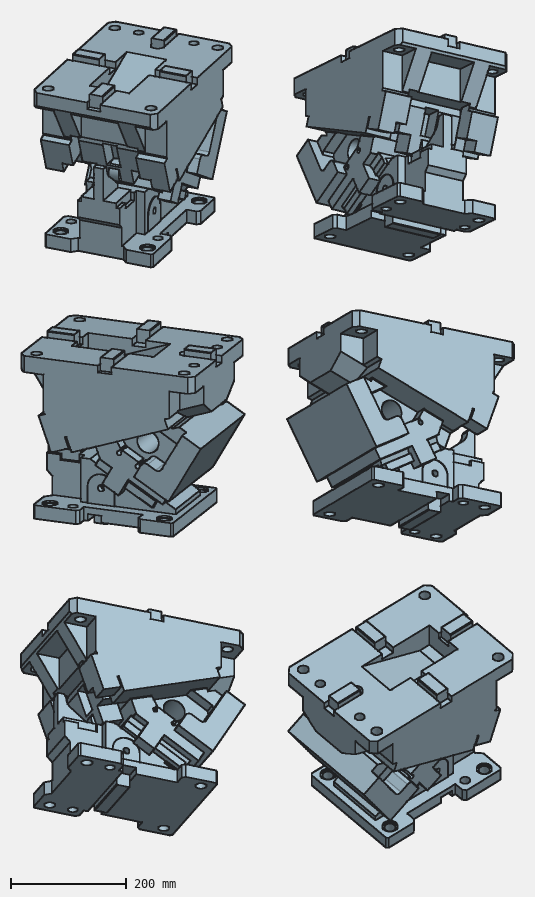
import cadquery as cq
import math


HEIGHT = 300.2
KEY_WIDTH = 25.0
KEY_LENGTH = 50.0
KEY_RISE = 12.0
KEY_SLOT_DEPTH = 12.5
KEY_CHAMFER = 1.3

RAMP_ANGLE = 30
RAMP_START = (107.5, 105.3)
GUIDE_ANGLE = 20
GUIDE_START = (98.3, 135.5)


def on_ramp(along, above):
    """(Y, Z) of a point given by its distance down the ramp and its height square to it."""
    cosine, sine = math.cos(math.radians(RAMP_ANGLE)), math.sin(math.radians(RAMP_ANGLE))
    return (RAMP_START[0] + along * cosine + above * sine, RAMP_START[1] - along * sine + above * cosine)


def on_guide(along, above):
    """(Y, Z) of a point given by its distance up the guide face and its height square to it."""
    cosine, sine = math.cos(math.radians(GUIDE_ANGLE)), math.sin(math.radians(GUIDE_ANGLE))
    return (GUIDE_START[0] + along * cosine - above * sine, GUIDE_START[1] + along * sine + above * cosine)


def rectangle(place, along, above):
    """Corners of a rectangle in the ramp or guide directions, given its (low, high) limits."""
    return [place(along[0], above[0]), place(along[1], above[0]),
            place(along[1], above[1]), place(along[0], above[1])]


def bar(points, half_width):
    """A (Y, Z) outline carried across the middle, from -half_width to +half_width."""
    return cq.Workplane("YZ").polyline(points).close().extrude(half_width, both=True)


def side_pair(points, inner, outer):
    """A (Y, Z) outline carried from inner to outer on both sides of the middle."""
    right = cq.Workplane("YZ", origin=(inner, 0, 0)).polyline(points).close().extrude(outer - inner)
    return right.union(right.mirror("YZ"))


def ramp_bar(section, start, end):
    """An (X, height) section carried along the ramp from start to end."""
    y, z = on_ramp(end, 0)
    angle = math.radians(RAMP_ANGLE)
    uphill = (0, -math.cos(angle), math.sin(angle))
    plane = cq.Plane(origin=(0, y, z), xDir=(1, 0, 0), normal=uphill)
    return cq.Workplane(plane).polyline(section).close().extrude(end - start)


def strip_section(half_width, top):
    """Section of a flat strip lying on the ramp."""
    return [(-half_width, 0), (-half_width, top), (half_width, top), (half_width, 0)]


def block(x, y, z):
    """A box given by its (low, high) limits on each axis."""
    box = cq.Workplane("XY").box(x[1] - x[0], y[1] - y[0], z[1] - z[0], centered=False)
    return box.translate((x[0], y[0], z[0]))


BASE_HALF = 102.3
BASE_FRONT = 20.3
BASE_BACK = 280.3
BASE_THICKNESS = 25.0
BASE_CORNER = 3.3
BASE_HOLE_INSET = 20.0
BASE_HOLE_FROM_END = 23.2
BASE_HOLE_DIAMETER = 19.3
BASE_BORE_DIAMETER = 26.5
BASE_BORE_DEPTH = 3.3
DOWEL_DIAMETER = 17.0
BASE_DOWEL_FROM_FRONT = 66.5

FRONT_NOTCH_DEPTH = 10.0
FRONT_NOTCH_HALF = 43.0
SIDE_NOTCH = (105.3, 214.5)
SIDE_NOTCH_HALF = 78.0
SIDE_NOTCH_CHAMFER = 5.5

BASE_KEY_Y = 125.2
BASE_KEY_HALF = 50.0

RIDGE_HALF = 55.5
RIDGE_TOP_HALF = 33.2
RIDGE_SHOULDER = 14.3
RIDGE_TOP = 21.5
RIDGE_START = 14.3
RIDGE_BACK = 267.0
END_BLOCK_START = 144.8
END_BLOCK_TOP = 18.0
RIDGE_SECTION = [
    (-RIDGE_HALF, 0),
    (-RIDGE_HALF, RIDGE_SHOULDER),
    (-RIDGE_TOP_HALF, RIDGE_TOP),
    (RIDGE_TOP_HALF, RIDGE_TOP),
    (RIDGE_HALF, RIDGE_SHOULDER),
    (RIDGE_HALF, 0),
]
RAMP_LENGTH = 199.3

BODY_ROOT = 22.5
BODY_FRONT = 90.3
COLUMN_HALF = 40.0
COLUMN_STEP = 10.0
COLUMN_STEP_TOP = 69.5
COLUMN_FRONT = BASE_FRONT + COLUMN_STEP
STOP_HALF = 33.2
STOP_TOP = 109.3
STOP_BACK = 81.0
STOP_STEP_Y = 45.5
STOP_SEAT = 90.3
STOP_LEDGE = 100.3
FIN_HALF = 9.0
FIN_TOP = 169.7
FIN_CREST = (31.5, FIN_TOP)
FIN_CREST_END = (35.2, 164.7)
FIN_HOLLOW = (38.0, 153.0)
FIN_HOLLOW_END = (47.0, 143.5)
FIN_SLOPE_END = (74.0, 123.0)
FIN_SHOULDER = (79.5, 117.0)

BOSS_Y = 128.2
BOSS_Z = 54.8
BOSS_RADIUS = 25.2
BOSS_HALF = 56.8
BOSS_HOLE_DIAMETER = 11.3
BOSS_HOLE_DEPTH = 13.3
PAD_ALONG = (109.3, 139.0)
PAD_DROP = 4.5


def base_plate():
    notch_outer = BASE_HALF - SIDE_NOTCH_CHAMFER
    right_edge = [
        (FRONT_NOTCH_HALF, BASE_FRONT + FRONT_NOTCH_DEPTH),
        (FRONT_NOTCH_HALF + FRONT_NOTCH_DEPTH, BASE_FRONT),
        (BASE_HALF - BASE_CORNER, BASE_FRONT),
        (BASE_HALF, BASE_FRONT + BASE_CORNER),
        (BASE_HALF, SIDE_NOTCH[0] - SIDE_NOTCH_CHAMFER),
        (notch_outer, SIDE_NOTCH[0]),
        (SIDE_NOTCH_HALF, SIDE_NOTCH[0]),
        (SIDE_NOTCH_HALF, SIDE_NOTCH[1]),
        (notch_outer, SIDE_NOTCH[1]),
        (BASE_HALF, SIDE_NOTCH[1] + SIDE_NOTCH_CHAMFER),
        (BASE_HALF, BASE_BACK - BASE_CORNER),
        (BASE_HALF - BASE_CORNER, BASE_BACK),
    ]
    left_edge = [(-x, y) for x, y in reversed(right_edge)]
    plate = cq.Workplane("XY").polyline(right_edge + left_edge).close().extrude(BASE_THICKNESS)
    hole_x = BASE_HALF - BASE_HOLE_INSET
    corners = [
        (x, y)
        for x in (-hole_x, hole_x)
        for y in (BASE_FRONT + BASE_HOLE_FROM_END, BASE_BACK - BASE_HOLE_FROM_END)
    ]
    dowels = [(x, BASE_FRONT + BASE_DOWEL_FROM_FRONT) for x in (-hole_x, hole_x)]
    top = plate.faces(">Z").workplane(origin=(0, 0, BASE_THICKNESS))
    plate = top.pushPoints(corners).cboreHole(BASE_HOLE_DIAMETER, BASE_BORE_DIAMETER, BASE_BORE_DEPTH)
    top = plate.faces(">Z").workplane(origin=(0, 0, BASE_THICKNESS))
    plate = top.pushPoints(dowels).hole(DOWEL_DIAMETER)
    key_y = (BASE_KEY_Y - KEY_WIDTH / 2, BASE_KEY_Y + KEY_WIDTH / 2)
    slot = block((-BASE_HALF, BASE_HALF), key_y, (0, KEY_SLOT_DEPTH))
    key = block((-BASE_KEY_HALF, BASE_KEY_HALF), key_y, (-KEY_RISE, KEY_SLOT_DEPTH))
    key = key.edges("|X and <Z").chamfer(KEY_CHAMFER)
    return plate.cut(slot).union(key)


def ramp_body():
    ramp_foot = RAMP_START[0] + (RAMP_START[1] - BASE_THICKNESS) / math.tan(math.radians(RAMP_ANGLE))
    body = bar(
        [(BODY_FRONT, BODY_ROOT), (BODY_FRONT, RAMP_START[1]), RAMP_START,
         (ramp_foot, BASE_THICKNESS), (ramp_foot, BODY_ROOT)],
        RIDGE_HALF,
    )
    ridge = ramp_bar(RIDGE_SECTION, RIDGE_START, END_BLOCK_START)
    end_block = ramp_bar(strip_section(RIDGE_HALF, END_BLOCK_TOP), END_BLOCK_START, RAMP_LENGTH)
    room = block((-RIDGE_HALF, RIDGE_HALF), (BODY_FRONT, RIDGE_BACK), (BASE_THICKNESS, HEIGHT))
    return body.union(ridge.union(end_block).intersect(room))


def front_stop():
    column = bar(
        [(BODY_FRONT, BODY_ROOT), (BODY_FRONT, RAMP_START[1]), (STOP_BACK, RAMP_START[1]),
         (STOP_BACK, STOP_SEAT), (STOP_STEP_Y, STOP_SEAT), (STOP_STEP_Y, STOP_LEDGE),
         (BASE_FRONT, STOP_LEDGE), (BASE_FRONT, COLUMN_STEP_TOP),
         (COLUMN_FRONT, COLUMN_STEP_TOP - COLUMN_STEP), (COLUMN_FRONT, BODY_ROOT)],
        COLUMN_HALF,
    )
    stop = block((-STOP_HALF, STOP_HALF), (BASE_FRONT, STOP_BACK), (STOP_SEAT, STOP_TOP))
    fin = (
        cq.Workplane("YZ")
        .moveTo(BASE_FRONT, STOP_TOP)
        .lineTo(BASE_FRONT, FIN_TOP)
        .lineTo(*FIN_CREST)
        .lineTo(*FIN_CREST_END)
        .threePointArc(FIN_HOLLOW, FIN_HOLLOW_END)
        .lineTo(*FIN_SLOPE_END)
        .threePointArc(FIN_SHOULDER, (STOP_BACK, STOP_TOP))
        .close()
        .extrude(FIN_HALF, both=True)
    )
    stop = stop.cut(block((-STOP_HALF, STOP_HALF), (BASE_FRONT, STOP_STEP_Y), (STOP_SEAT, STOP_LEDGE)))
    return column.union(stop).union(fin)


def side_bosses():
    boss = block(
        (-BOSS_HALF, BOSS_HALF),
        (BOSS_Y - BOSS_RADIUS, BOSS_Y + BOSS_RADIUS),
        (BODY_ROOT, BOSS_Z),
    )
    round_top = cq.Workplane("YZ").center(BOSS_Y, BOSS_Z).circle(BOSS_RADIUS).extrude(BOSS_HALF, both=True)
    pad = bar(rectangle(on_ramp, PAD_ALONG, (-PAD_DROP, 0)), BOSS_HALF)
    return boss.union(round_top).union(pad)


def boss_holes():
    holes = cq.Workplane("YZ").center(BOSS_Y, BOSS_Z).circle(BOSS_HOLE_DIAMETER / 2)
    full = holes.extrude(BOSS_HALF, both=True)
    core_half = BOSS_HALF - BOSS_HOLE_DEPTH
    return full.cut(block((-core_half, core_half), (0, BASE_BACK), (0, HEIGHT)))


def make_base():
    base = base_plate().union(ramp_body()).union(front_stop()).union(side_bosses())
    return base.cut(boss_holes())


SLIDE_HALF = 81.5
PLATE_HALF = 100.5
PLATE_INNER = 124.0
PLATE_OUTER = 163.7
PLATE_TOP = 165.5
FOOT_INNER = 89.5
FOOT_TOP = 80.5
FOOT_BOTTOM = 45.2
FOOT_FILLET = 8.5
SHOE_HALF = 67.8
SHOE_SIDE = 14.5
SHOE_END = 138.8
SHOE_NOSE_HALF = 63.0
SHOE_NECK_TOP = 67.0
SHOE_NECK_BOTTOM = 62.8
SHOE_NECK_END = 143.5
SLIDE_BOTTOM = 24.2
ROOT_DEPTH = 1.5
SLIDE_END = 154.0
KEEPER = (45.0, 80.0)
KEEPER_DROP = 12.0
KEEPER_INNER = 57.5
NOSE = 29.5
NOSE_BOTTOM = -30.0
NOSE_SETBACK = 3.3
GUIDE_BACK = 180.7
REAR_DROP = 8.3
REAR_SHELF = 108.5
HOOK_BOTTOM = 8.3
BAR_HOLE_Y = 217.0
BAR_HOLE_Z = 151.5
BAR_HOLE_DIAMETER = 40.0
POCKET_HALF = 59.0
POCKET_FRONT = 70.5
POCKET_REAR = 150.0
POCKET_BOTTOM = 63.8
POCKET_TOP = 136.0
POCKET_CORNER = 4.5
RELIEF_RADIUS = 4.0
RELIEF_ALONG = (42.2, 82.0)
RELIEF_DROP = 8.0
GUIDE_STEPS = ((NOSE, POCKET_FRONT), (POCKET_REAR, GUIDE_BACK))
STEP_SIZE = 1.5

RETURN_FRONT = -10.5
RETURN_HALF = 59.0
RETURN_TOP = 204.2
RETURN_FACE_BOTTOM = 191.3
RETURN_SHOULDER = 14.0
TONGUE_HALF = 33.2
TONGUE_BOTTOM = -18.0
RETURN_SLOT_HALF = 13.3
RETURN_SLOT = (147.5, 194.5)
RETURN_SLOT_BACK = 16.5
ROLLER = (2.0, -4.3)
ROLLER_RADIUS = 19.3
ROLLER_HALF = 9.5


def guide_y(along, z):
    """Y at height z on the plane square to the guide at the given distance up it."""
    y_0, z_0 = on_guide(along, 0)
    return y_0 - (z - z_0) * math.tan(math.radians(GUIDE_ANGLE))


def back_plate():
    outline = [
        on_ramp(PLATE_OUTER, PLATE_TOP), on_ramp(PLATE_INNER, PLATE_TOP), on_ramp(PLATE_INNER, FOOT_TOP),
        on_ramp(FOOT_INNER, FOOT_TOP), on_ramp(FOOT_INNER, FOOT_BOTTOM), on_ramp(PLATE_OUTER, FOOT_BOTTOM),
    ]
    plate = bar(outline, PLATE_HALF)
    for y, z in (outline[2], outline[3]):
        plate = plate.edges(cq.selectors.NearestToPointSelector((0, y, z))).fillet(FOOT_FILLET)
    return plate


def slide_body():
    return bar(
        [on_ramp(PLATE_INNER, PLATE_TOP), on_ramp(REAR_SHELF, PLATE_TOP),
         on_guide(GUIDE_BACK, -REAR_DROP), on_guide(GUIDE_BACK, 0),
         on_guide(NOSE, 0), on_guide(NOSE, NOSE_BOTTOM), on_ramp(RIDGE_START + NOSE_SETBACK, SLIDE_BOTTOM),
         on_ramp(SLIDE_END, SLIDE_BOTTOM), on_ramp(SLIDE_END, FOOT_BOTTOM),
         on_ramp(PLATE_INNER, FOOT_BOTTOM)],
        SLIDE_HALF,
    )


def shoe():
    root = SLIDE_BOTTOM + ROOT_DEPTH
    strip = ramp_bar(strip_section(SHOE_HALF, SHOE_SIDE), KEEPER[0], SHOE_END)
    nose = ramp_bar(strip_section(SHOE_NOSE_HALF, SHOE_SIDE), RIDGE_START, KEEPER[0])
    neck = ramp_bar(
        [(-SHOE_NECK_BOTTOM, SHOE_SIDE), (-SHOE_NECK_TOP, SLIDE_BOTTOM), (-SHOE_NECK_TOP, root),
         (SHOE_NECK_TOP, root), (SHOE_NECK_TOP, SLIDE_BOTTOM), (SHOE_NECK_BOTTOM, SHOE_SIDE)],
        RIDGE_START, SHOE_NECK_END,
    )
    return strip.union(nose).union(neck).cut(ramp_bar(RIDGE_SECTION, 0, RAMP_LENGTH))


def keepers():
    outline = rectangle(on_ramp, KEEPER, (-KEEPER_DROP, SLIDE_BOTTOM + ROOT_DEPTH))
    return side_pair(outline, KEEPER_INNER, SLIDE_HALF)


def side_pockets():
    outline = [on_guide(POCKET_REAR, 0), on_ramp(PLATE_INNER - POCKET_CORNER, POCKET_TOP),
               on_ramp(PLATE_INNER, POCKET_TOP - POCKET_CORNER), on_ramp(PLATE_INNER, POCKET_BOTTOM),
               on_ramp(RELIEF_ALONG[0], POCKET_BOTTOM), on_guide(POCKET_FRONT, 0)]
    pockets = side_pair(outline, POCKET_HALF, SLIDE_HALF)
    web = block((-POCKET_HALF, POCKET_HALF), (0, BASE_BACK), (0, HEIGHT))
    for along in RELIEF_ALONG:
        y, z = on_ramp(along, POCKET_BOTTOM - RELIEF_DROP)
        relief = cq.Workplane("YZ").center(y, z).circle(RELIEF_RADIUS).extrude(SLIDE_HALF, both=True)
        half = RELIEF_RADIUS / 2
        limits = (POCKET_BOTTOM - RELIEF_DROP, POCKET_BOTTOM)
        neck = bar(rectangle(on_ramp, (along - half, along + half), limits), SLIDE_HALF)
        pockets = pockets.union(relief.union(neck).cut(web))
    return pockets


def guide_edge_steps():
    steps = cq.Workplane("XY")
    for start, end in GUIDE_STEPS:
        outline = rectangle(on_guide, (start, end), (-STEP_SIZE, 0))
        steps = steps.union(side_pair(outline, SLIDE_HALF - STEP_SIZE, SLIDE_HALF))
    return steps


def return_block():
    face_y = guide_y(RETURN_FRONT, RETURN_FACE_BOTTOM)
    crown = bar(
        [on_guide(RETURN_FRONT, RETURN_SHOULDER), (face_y, RETURN_FACE_BOTTOM), (face_y, RETURN_TOP),
         (guide_y(NOSE, RETURN_TOP), RETURN_TOP), on_guide(NOSE, RETURN_SHOULDER)],
        RETURN_HALF,
    )
    tongue_height = (TONGUE_BOTTOM, RETURN_SHOULDER)
    tongue = bar(rectangle(on_guide, (RETURN_FRONT, NOSE), tongue_height), TONGUE_HALF)
    low, high = RETURN_SLOT
    slot = bar(
        [(0, low), (0, high), (guide_y(RETURN_SLOT_BACK, high), high), (guide_y(RETURN_SLOT_BACK, low), low)],
        RETURN_SLOT_HALF,
    )
    y, z = on_guide(*ROLLER)
    roller = cq.Workplane("YZ").center(y, z).circle(ROLLER_RADIUS).extrude(ROLLER_HALF, both=True)
    return crown.union(tongue).cut(slot).union(roller)


def make_slide():
    slide = slide_body().cut(side_pockets()).cut(guide_edge_steps())
    slide = slide.union(back_plate()).union(shoe()).union(keepers()).union(return_block())
    hole = cq.Workplane("YZ").center(BAR_HOLE_Y, BAR_HOLE_Z).circle(BAR_HOLE_DIAMETER / 2)
    return slide.cut(hole.extrude(PLATE_HALF, both=True))


HOLDER_HALF = 117.5
HOLDER_BACK = 325.0
PLATE_THICKNESS = 30.0
HOLDER_CORNER = 10.0
BODY_FACE = 45.5
BACK_NOTCH_Y = 280.3
BACK_NOTCH_HALF = 69.7
PLATE_LIP = 25.0
GUSSET_FOOT = 205.0
BODY_FOOT = 202.5
GUSSET = (44.5, 77.5)
CAVITY_HALF = 66.5
HOOK_SPACING_HALF = 63.5
CAVITY_TOP = 210.0
HOOK_FRONT = -38.0
HOOK_TOP = 76.5
HOOK_BACK = -25.5
HOOK_CUT_HALF = 84.0
HOOK_CUT_HEIGHT = 28.0
HOOK_GAP = 3.0
HOOK_GAP_TOP = 29.0

WINDOW_HALF = 37.5
WINDOW_FRONT = 65.5
WINDOW_FLOOR_BACK = 87.5
WINDOW_BACK = 219.0

CROSS_KEY_Y = 160.0
KEY_INSET = 10.0
HOLDER_HOLE_INSET = 20.0
HOLDER_HOLE_FROM_END = 25.0
HOLDER_HOLE_DIAMETER = 19.3
HOLDER_DOWEL_X = 52.5
HOLDER_DOWEL_DEPTH = 30.0
END_ALONG = 191.3
END_RISE = 18.3
WEDGE_DROP = 4.3
WEDGE_BOTTOM_HALF = 35.0


def holder_plate():
    under = HEIGHT - PLATE_THICKNESS
    plate = block((-HOLDER_HALF, HOLDER_HALF), (0, HOLDER_BACK), (under, HEIGHT))
    plate = plate.edges("|Z").chamfer(HOLDER_CORNER)
    lip = HEIGHT - PLATE_LIP
    slope = BODY_FACE / (lip - GUSSET_FOOT)
    bevel = bar([(0, lip), (0, under), (slope * (lip - under), under)], HOLDER_HALF)
    plate = plate.cut(bevel)
    gussets = side_pair(
        [(slope * (lip - under), under), (BODY_FACE, under), (BODY_FACE, GUSSET_FOOT)], *GUSSET)
    return plate.union(gussets)


def holder_body():
    top = HEIGHT - PLATE_THICKNESS
    end_y, end_z = on_guide(END_ALONG, END_RISE)
    back_z = end_z + (HOLDER_BACK - end_y) * math.tan(math.radians(GUIDE_ANGLE))
    body = bar(
        [(BODY_FACE, top), (HOLDER_BACK, top), (HOLDER_BACK, back_z), on_guide(END_ALONG, END_RISE),
         on_guide(END_ALONG, 0), on_guide(0, 0), on_guide(0, HOOK_BOTTOM),
         on_guide(HOOK_FRONT, HOOK_BOTTOM), on_guide(HOOK_FRONT, HOOK_TOP), on_guide(HOOK_BACK, HOOK_TOP),
         (BODY_FACE, BODY_FOOT)],
        HOLDER_HALF,
    )
    back_notch = [(BACK_NOTCH_Y, top), (HOLDER_BACK, top), (HOLDER_BACK, 0), (BACK_NOTCH_Y, 0)]
    return body.cut(side_pair(back_notch, BACK_NOTCH_HALF, HOLDER_HALF))


def back_wedge():
    """Inner continuation of the guide at the back, bevelled on both sides."""
    angle = math.radians(GUIDE_ANGLE)
    y, z = on_guide(END_ALONG, 0)
    direction = (0, math.cos(angle), math.sin(angle))
    plane = cq.Plane(origin=(0, y, z), xDir=(-1, 0, 0), normal=direction)
    section = [(-BACK_NOTCH_HALF, END_RISE), (-WEDGE_BOTTOM_HALF, -WEDGE_DROP),
               (WEDGE_BOTTOM_HALF, -WEDGE_DROP), (BACK_NOTCH_HALF, END_RISE)]
    wedge = cq.Workplane(plane).polyline(section).close().extrude(HOLDER_BACK)
    return wedge.intersect(block((-HOLDER_HALF, HOLDER_HALF), (0, HOLDER_BACK), (0, HEIGHT)))


def front_cavity():
    back_top = (guide_y(NOSE, CAVITY_TOP), CAVITY_TOP)
    back_bottom = on_guide(NOSE, 0)
    cavity = bar([(guide_y(-HOOK_GAP, CAVITY_TOP), CAVITY_TOP), back_top, back_bottom,
                  on_guide(-HOOK_GAP, 0)], CAVITY_HALF)
    hook_spacing = bar([(0, CAVITY_TOP), back_top, back_bottom, (0, 0)], HOOK_SPACING_HALF)
    hook_cut = bar(rectangle(on_guide, (HOOK_FRONT, 0), (0, HOOK_CUT_HEIGHT)), HOOK_CUT_HALF)
    hook_gap = bar(rectangle(on_guide, (-HOOK_GAP, 0), (0, HOOK_GAP_TOP)), HOLDER_HALF)
    return cavity.union(hook_spacing).union(hook_cut).union(hook_gap)


def window():
    drop = (WINDOW_BACK - WINDOW_FLOOR_BACK) * math.tan(math.radians(GUIDE_ANGLE))
    floor = HEIGHT - drop
    return bar([(WINDOW_BACK, HEIGHT), (WINDOW_FLOOR_BACK, floor), (WINDOW_FRONT, floor),
                (WINDOW_FRONT, HEIGHT)], WINDOW_HALF)


def holder_holes():
    x = HOLDER_HALF - HOLDER_HOLE_INSET
    back = HOLDER_BACK - HOLDER_HOLE_FROM_END
    corners = [(sx * x, y) for sx in (-1, 1) for y in (HOLDER_HOLE_FROM_END, back)]
    below = HEIGHT - PLATE_THICKNESS
    holes = cq.Workplane("XY", origin=(0, 0, below)).pushPoints(corners)
    holes = holes.circle(HOLDER_HOLE_DIAMETER / 2).extrude(PLATE_THICKNESS)
    dowels = cq.Workplane("XY", origin=(0, 0, HEIGHT - HOLDER_DOWEL_DEPTH))
    dowels = dowels.pushPoints([(-HOLDER_DOWEL_X, back), (HOLDER_DOWEL_X, back)])
    return holes.union(dowels.circle(DOWEL_DIAMETER / 2).extrude(HOLDER_DOWEL_DEPTH))


def key_slots():
    half = KEY_WIDTH / 2
    depth = (HEIGHT - KEY_SLOT_DEPTH, HEIGHT)
    cross = block((-HOLDER_HALF, HOLDER_HALF), (CROSS_KEY_Y - half, CROSS_KEY_Y + half), depth)
    front = block((-half, half), (0, WINDOW_FRONT), depth)
    round_y = HOLDER_BACK - KEY_INSET - KEY_LENGTH
    back = block((-half, half), (round_y, HOLDER_BACK), depth)
    end = cq.Workplane("XY", origin=(0, round_y, depth[0])).circle(half).extrude(KEY_SLOT_DEPTH)
    return cross.union(front).union(back).union(end)


def holder_keys():
    half = KEY_WIDTH / 2
    height = (HEIGHT - KEY_SLOT_DEPTH, HEIGHT + KEY_RISE)
    cross_y = (CROSS_KEY_Y - half, CROSS_KEY_Y + half)
    outer = HOLDER_HALF - KEY_INSET
    keys = cq.Workplane("XY")
    for x in ((-outer, KEY_LENGTH - outer), (outer - KEY_LENGTH, outer)):
        keys = keys.union(block(x, cross_y, height).edges("|X and >Z").chamfer(KEY_CHAMFER))
    back = HOLDER_BACK - KEY_INSET
    for y in ((KEY_INSET, KEY_INSET + KEY_LENGTH), (back - KEY_LENGTH, back)):
        keys = keys.union(block((-half, half), y, height).edges("|Y and >Z").chamfer(KEY_CHAMFER))
    return keys


def make_holder():
    holder = holder_plate().union(holder_body()).union(back_wedge()).cut(front_cavity())
    return holder.cut(window()).cut(holder_holes()).cut(key_slots()).union(holder_keys())


base = make_base()
slide = make_slide()
holder = make_holder()
result = cq.Compound.makeCompound([base.val(), slide.val(), holder.val()])